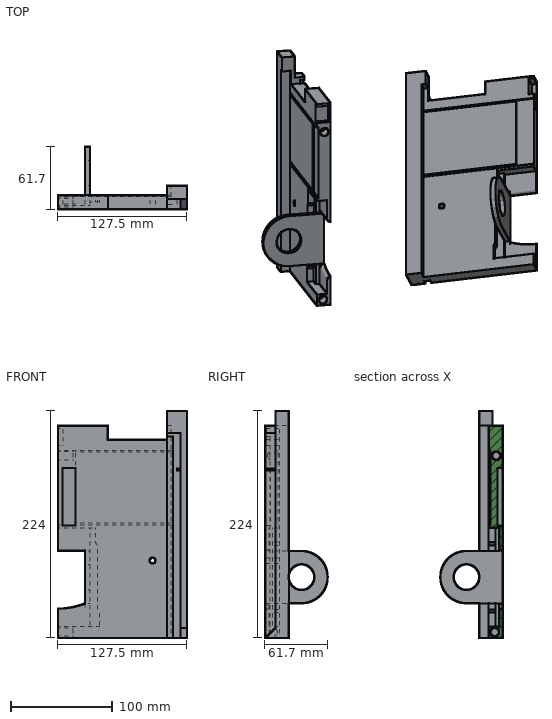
import cadquery as cq

WIDTH = 127.5
HEIGHT = 224.0
DEPTH = 61.67

PLATE_WIDTH = 107.5
PLATE_THICKNESS = 14.0
PLATE_LEFT_HEIGHT = 209.4
PLATE_RIGHT_HEIGHT = 195.6
TOP_STEP_X = 49.4

NOTCH_DEPTH = 26.8
NOTCH_CORNER_Z = 29.2
NOTCH_SKIN_FILLET = 3.2

LUG_HEIGHT = 51.8
LUG_CENTER_Z = 60.2
LUG_THICKNESS = 5.0
LUG_HOLE_DIAMETER = 25.0
LUG_RADIUS = LUG_HEIGHT / 2
LUG_BOTTOM_Z = LUG_CENTER_Z - LUG_RADIUS
LUG_TOP_Z = LUG_CENTER_Z + LUG_RADIUS
LUG_AXIS_Y = DEPTH - LUG_RADIUS
LUG_BACK_X = NOTCH_DEPTH + LUG_THICKNESS

SKIN_THICKNESS = 3.7
POCKET_LEDGE_Y = 7.3
POCKET_HEIGHT = 97.0
POCKET_MIDDLE_BOTTOM_Z = 28.4
POCKET_MIDDLE_TOP_Z = 91.5
POCKET_MIDDLE_X = 39.0
POCKET_STEP_X = 2.0
POCKET_STEP_Z = 3.1

EDGE_NOTCH_DEPTH = 5.0
EDGE_NOTCH_FRONT_WALL = 1.4
EDGE_NOTCH_BOTTOM_Z = 189.8
EDGE_NOTCH_TOP_Z = 206.7
EDGE_HOLE_DIAMETER = 8.2
EDGE_HOLE_DEPTH = 15.0
UPPER_EDGE_HOLE_YZ = (6.4, 179.8)
LOWER_EDGE_HOLE_YZ = (7.9, 6.0)

WINDOW_LEFT_X = 4.5
WINDOW_RIGHT_X = 17.7
WINDOW_BOTTOM_Z = 110.9
WINDOW_TOP_Z = 167.5
WINDOW_DEPTH = 5.0
PIN_HOLE_DIAMETER = 5.5
PIN_HOLE_X = 93.4
PIN_HOLE_Z = 76.5

BACK_RECESS_DEPTH = 1.5
BACK_RECESS_BOTTOM_Z = 111.7
BACK_RECESS_TOP_Z = 184.9
BACK_PAD_BOTTOM_Z = 113.7
BACK_PAD_TOP_Z = 183.6

RAIL_FRONT_Y = 10.0
RAIL_BACK_Y = 23.3
RAIL_HEAD_BOTTOM_Z = PLATE_LEFT_HEIGHT
RAIL_SETBACK = 4.2

STRIP_RIGHT_X = 120.8
STRIP_HEIGHT = 202.0
GROOVE_RIGHT_X = 113.6
GROOVE_DEPTH = 4.8
GROOVE_TOP_Z = 199.0
NICK_DEPTH = 3.4
NICK_BOTTOM_Z = 165.2
NICK_TOP_Z = 167.4
WEDGE_HEIGHT = 10.0


def block(x_range, y_range, z_range):
    """Box spanning the given (start, end) pairs."""
    size = [end - start for start, end in (x_range, y_range, z_range)]
    corner = (x_range[0], y_range[0], z_range[0])
    return cq.Workplane("XY").box(*size, centered=False).translate(corner)


def extrude_along_y(profile, y_start, y_end):
    """Extrude an X-Z profile drawn on the XZ plane from y_start to y_end."""
    return profile.extrude(-(y_end - y_start)).translate((0, y_start, 0))


def plate():
    outline = (
        cq.Workplane("XZ")
        .polyline([
            (0, 0),
            (PLATE_WIDTH, 0),
            (PLATE_WIDTH, PLATE_RIGHT_HEIGHT),
            (TOP_STEP_X, PLATE_RIGHT_HEIGHT),
            (TOP_STEP_X, PLATE_LEFT_HEIGHT),
            (0, PLATE_LEFT_HEIGHT),
        ])
        .close()
    )
    return extrude_along_y(outline, 0, PLATE_THICKNESS)


def side_notch():
    """Opening in front of the lug; its lower side is an arc that leaves the left edge horizontally."""
    rise = LUG_BOTTOM_Z - NOTCH_CORNER_Z
    arc_radius = (NOTCH_DEPTH**2 + rise**2) / (2 * rise)
    half_x = NOTCH_DEPTH / 2
    half_z = NOTCH_CORNER_Z + arc_radius - (arc_radius**2 - half_x**2) ** 0.5
    outline = (
        cq.Workplane("XZ")
        .moveTo(0, LUG_TOP_Z)
        .lineTo(0, NOTCH_CORNER_Z)
        .threePointArc((half_x, half_z), (NOTCH_DEPTH, LUG_BOTTOM_Z))
        .lineTo(NOTCH_DEPTH, LUG_TOP_Z)
        .close()
    )
    return extrude_along_y(outline, 0, PLATE_THICKNESS)


def lug_pocket():
    """Pocket ending level with the lug near the skin; further back it is deeper in three sloped steps."""
    bottom_z = LUG_CENTER_Z - POCKET_HEIGHT / 2
    top_z = LUG_CENTER_Z + POCKET_HEIGHT / 2
    front_level = block((0, LUG_BACK_X), (SKIN_THICKNESS, PLATE_THICKNESS), (bottom_z, top_z))

    deep_x = POCKET_MIDDLE_X + POCKET_STEP_X
    shallow_x = POCKET_MIDDLE_X - POCKET_STEP_X
    back_outline = (
        cq.Workplane("XZ")
        .polyline([
            (0, bottom_z),
            (deep_x, bottom_z),
            (deep_x, POCKET_MIDDLE_BOTTOM_Z - POCKET_STEP_Z),
            (POCKET_MIDDLE_X, POCKET_MIDDLE_BOTTOM_Z),
            (POCKET_MIDDLE_X, POCKET_MIDDLE_TOP_Z),
            (shallow_x, POCKET_MIDDLE_TOP_Z + POCKET_STEP_Z),
            (shallow_x, top_z),
            (0, top_z),
        ])
        .close()
    )
    back_level = extrude_along_y(back_outline, POCKET_LEDGE_Y, PLATE_THICKNESS)
    return front_level.union(back_level)


def round_notch_skin(body):
    """Round the inner edges where the side notch breaks through the thin front skin."""
    margin = 0.1
    edge_zone = cq.selectors.BoxSelector(
        (margin, SKIN_THICKNESS - margin, NOTCH_CORNER_Z),
        (NOTCH_DEPTH - margin, SKIN_THICKNESS + margin, LUG_TOP_Z + margin),
    )
    return body.edges(edge_zone).fillet(NOTCH_SKIN_FILLET)


def lug():
    arm = block((NOTCH_DEPTH, LUG_BACK_X), (0, LUG_AXIS_Y), (LUG_BOTTOM_Z, LUG_TOP_Z))
    eye_plane = cq.Workplane("YZ", origin=(NOTCH_DEPTH, 0, 0)).center(LUG_AXIS_Y, LUG_CENTER_Z)
    eye = eye_plane.circle(LUG_RADIUS).extrude(LUG_THICKNESS)
    eye_hole = eye_plane.circle(LUG_HOLE_DIAMETER / 2).extrude(LUG_THICKNESS)
    return arm.union(eye).cut(eye_hole)


def edge_notch():
    return block(
        (0, EDGE_NOTCH_DEPTH),
        (EDGE_NOTCH_FRONT_WALL, PLATE_THICKNESS),
        (EDGE_NOTCH_BOTTOM_Z, EDGE_NOTCH_TOP_Z),
    )


def edge_holes():
    centers = [UPPER_EDGE_HOLE_YZ, LOWER_EDGE_HOLE_YZ]
    return cq.Workplane("YZ").pushPoints(centers).circle(EDGE_HOLE_DIAMETER / 2).extrude(EDGE_HOLE_DEPTH)


def window():
    return block((WINDOW_LEFT_X, WINDOW_RIGHT_X), (0, WINDOW_DEPTH), (WINDOW_BOTTOM_Z, WINDOW_TOP_Z))


def pin_hole():
    circle = cq.Workplane("XZ").center(PIN_HOLE_X, PIN_HOLE_Z).circle(PIN_HOLE_DIAMETER / 2)
    return extrude_along_y(circle, 0, PLATE_THICKNESS)


def back_recess():
    y_range = (PLATE_THICKNESS - BACK_RECESS_DEPTH, PLATE_THICKNESS)
    right_x = PLATE_WIDTH + RAIL_SETBACK
    recess = block((0, right_x), y_range, (BACK_RECESS_BOTTOM_Z, BACK_RECESS_TOP_Z))
    pad = block((WINDOW_RIGHT_X, right_x), y_range, (BACK_PAD_BOTTOM_Z, BACK_PAD_TOP_Z))
    return recess.cut(pad)


def rail():
    bar = block((PLATE_WIDTH, WIDTH), (RAIL_FRONT_Y, RAIL_BACK_Y), (0, HEIGHT))
    setback = block(
        (PLATE_WIDTH, PLATE_WIDTH + RAIL_SETBACK),
        (PLATE_THICKNESS, RAIL_BACK_Y),
        (0, RAIL_HEAD_BOTTOM_Z),
    )
    return bar.cut(setback)


def rail_strip():
    strip = block((PLATE_WIDTH, STRIP_RIGHT_X), (0, RAIL_FRONT_Y), (0, STRIP_HEIGHT))
    groove = block((PLATE_WIDTH, GROOVE_RIGHT_X), (0, GROOVE_DEPTH), (0, GROOVE_TOP_Z))
    nick = block(
        (STRIP_RIGHT_X - NICK_DEPTH, STRIP_RIGHT_X),
        (0, RAIL_FRONT_Y),
        (NICK_BOTTOM_Z, NICK_TOP_Z),
    )
    return strip.cut(groove).cut(nick)


def foot_wedge():
    """Triangular foot beside the strip, sloping down from the rail to the front."""
    triangle = (
        cq.Workplane("YZ", origin=(STRIP_RIGHT_X, 0, 0))
        .polyline([(0, 0), (RAIL_FRONT_Y, 0), (RAIL_FRONT_Y, WEDGE_HEIGHT)])
        .close()
    )
    return triangle.extrude(WIDTH - STRIP_RIGHT_X)


body = plate().cut(lug_pocket()).cut(side_notch())
body = round_notch_skin(body)
body = body.union(lug()).union(rail()).union(rail_strip()).union(foot_wedge())
for cutter in (edge_notch(), edge_holes(), window(), pin_hole(), back_recess()):
    body = body.cut(cutter)

result = body